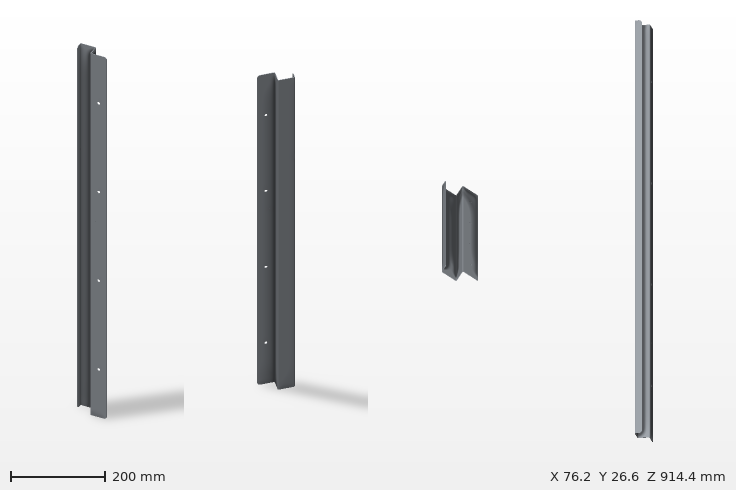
import cadquery as cq

width = 76.2
length = 914.4

sheet = 1.22
inner_radius = 1.19
outer_radius = inner_radius + sheet

flange_offset = 25.4
depth = flange_offset + sheet
web_right = width / 2
web_left = web_right - sheet
lip_depth = 15.875
lip_edge = depth - lip_depth

hole_diameter = 6.35
hole_count = 4
hole_end_distance = 120.65
hole_pitch = (length - 2 * hole_end_distance) / (hole_count - 1)
hole_edge_distance = 19.05

corner_radius = 6.35


def bent_section():
    """Extrude the sheet profile: lip, rear flange, web and front flange."""
    corners = [
        (0, lip_edge),
        (0, depth),
        (web_right, depth),
        (web_right, sheet),
        (width, sheet),
        (width, 0),
        (web_left, 0),
        (web_left, flange_offset),
        (sheet, flange_offset),
        (sheet, lip_edge),
    ]
    return cq.Workplane("XY").polyline(corners).close().extrude(length)


def round_bends(body):
    """Give every bend concentric inner and outer radii."""
    outer_corners = [(0, depth), (web_right, depth), (web_left, 0)]
    inner_corners = [(sheet, flange_offset), (web_left, flange_offset), (web_right, sheet)]
    for corners, radius in ((outer_corners, outer_radius), (inner_corners, inner_radius)):
        for x, y in corners:
            edge = cq.selectors.NearestToPointSelector((x, y, length / 2))
            body = body.edges("|Z").edges(edge).fillet(radius)
    return body


def round_free_corners(body):
    """Round the end corners of the front flange and of the lip."""
    for z in (0, length):
        corner = cq.selectors.NearestToPointSelector((width, sheet / 2, z))
        body = body.edges("|Y").edges(corner).fillet(corner_radius)
        corner = cq.selectors.NearestToPointSelector((sheet / 2, lip_edge, z))
        body = body.edges("|X").edges(corner).fillet(corner_radius)
    return body


def drill_holes(body):
    """Drill the row of evenly spaced holes through the front flange."""
    for index in range(hole_count):
        drill = (
            cq.Workplane("XZ")
            .center(width - hole_edge_distance, hole_end_distance + index * hole_pitch)
            .circle(hole_diameter / 2)
            .extrude(-sheet)
        )
        body = body.cut(drill)
    return body


result = drill_holes(round_free_corners(round_bends(bent_section())))